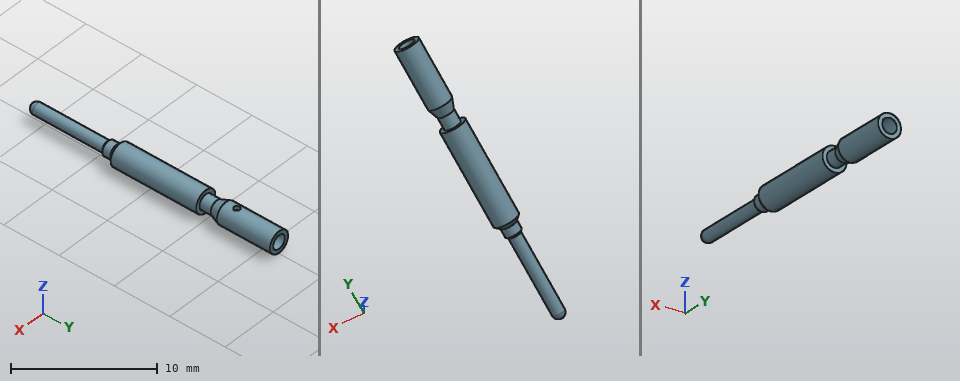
import cadquery as cq
import math


body_diameter = 2.0
barrel_diameter = 1.9
neck_diameter = 1.3
collar_diameter = 1.3
pin_diameter = 1.0
wire_bore_diameter = 1.2
sight_hole_diameter = 0.5

overall_length = 22.37
barrel_length = 4.8
neck_length = 1.0
body_length = 7.73
collar_length = 0.7

barrel_taper_angle = 20

sight_hole_from_wire_end = 3.8

body_radius = body_diameter / 2
barrel_radius = barrel_diameter / 2
neck_radius = neck_diameter / 2
collar_radius = collar_diameter / 2
pin_radius = pin_diameter / 2

barrel_taper_length = (barrel_radius - neck_radius) / math.tan(math.radians(barrel_taper_angle))

body_taper_length = body_radius - collar_radius
collar_taper_length = collar_radius - pin_radius

wire_end_y = overall_length
barrel_end_y = wire_end_y - barrel_length
neck_start_y = barrel_end_y - barrel_taper_length
body_start_y = neck_start_y - neck_length
body_end_y = body_start_y - body_length
collar_start_y = body_end_y - body_taper_length
collar_end_y = collar_start_y - collar_length
pin_start_y = collar_end_y - collar_taper_length


def turned_body():
    """Half profile of the contact turned about the Y axis, with a hemispherical tip."""
    tip_arc_middle = pin_radius * math.sqrt(0.5)
    profile = (
        cq.Workplane("XY")
        .moveTo(0, wire_end_y)
        .lineTo(barrel_radius, wire_end_y)
        .lineTo(barrel_radius, barrel_end_y)
        .lineTo(neck_radius, neck_start_y)
        .lineTo(neck_radius, body_start_y)
        .lineTo(body_radius, body_start_y)
        .lineTo(body_radius, body_end_y)
        .lineTo(collar_radius, collar_start_y)
        .lineTo(collar_radius, collar_end_y)
        .lineTo(pin_radius, pin_start_y)
        .lineTo(pin_radius, pin_radius)
        .threePointArc((tip_arc_middle, pin_radius - tip_arc_middle), (0, 0))
        .close()
    )
    return profile.revolve(360, (0, 0, 0), (0, 1, 0))


def wire_bore():
    """Blind bore for the wire, entering from the wire end and as deep as the barrel is long."""
    return (
        cq.Workplane("XZ", origin=(0, wire_end_y, 0))
        .circle(wire_bore_diameter / 2)
        .extrude(barrel_length)
    )


def sight_hole():
    """Radial hole entering the wire barrel from +Z and opening into the wire bore."""
    return (
        cq.Workplane("XY")
        .center(0, wire_end_y - sight_hole_from_wire_end)
        .circle(sight_hole_diameter / 2)
        .extrude(barrel_radius)
    )


result = turned_body().cut(wire_bore()).cut(sight_hole())